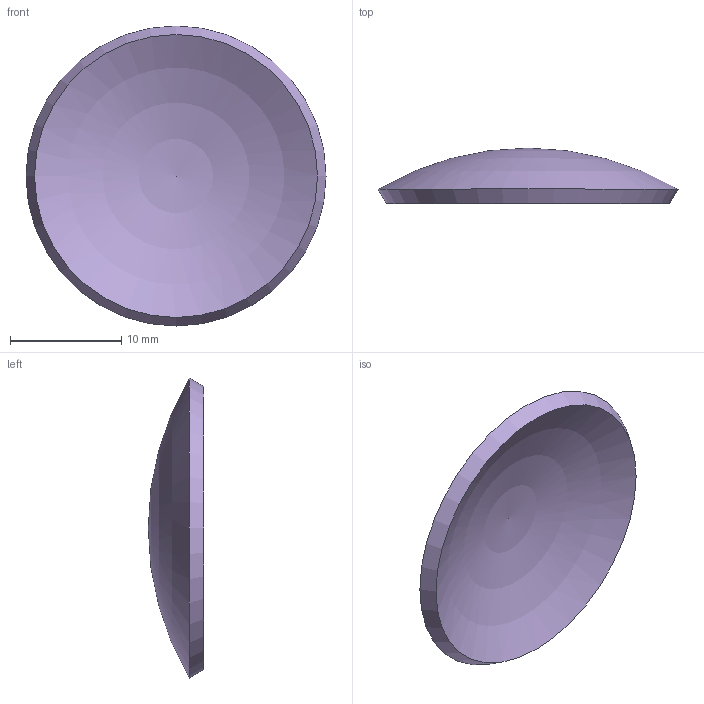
import cadquery as cq
import math

disc_diameter = 27.0
outer_sphere_radius = 26.5
wall_thickness = 1.5

inner_sphere_radius = outer_sphere_radius - wall_thickness

rim_angle = math.asin(disc_diameter / 2 / outer_sphere_radius)


def profile_point(sphere_radius, angle):
    """Point (radius from the Y axis, Y) on a sphere, at an angle from the +Y axis."""
    return (sphere_radius * math.sin(angle), sphere_radius * math.cos(angle))


def make_dished_disc():
    """Revolve the half section of the spherical shell around the Y axis."""
    half_section = (
        cq.Workplane("XY")
        .moveTo(*profile_point(inner_sphere_radius, 0))
        .lineTo(*profile_point(outer_sphere_radius, 0))
        .threePointArc(
            profile_point(outer_sphere_radius, rim_angle / 2),
            profile_point(outer_sphere_radius, rim_angle),
        )
        .lineTo(*profile_point(inner_sphere_radius, rim_angle))
        .threePointArc(
            profile_point(inner_sphere_radius, rim_angle / 2),
            profile_point(inner_sphere_radius, 0),
        )
        .close()
    )
    return half_section.revolve(360, (0, 0), (0, 1))


rim_front_y = profile_point(inner_sphere_radius, rim_angle)[1]
result = make_dished_disc().translate((0, -rim_front_y, 0))